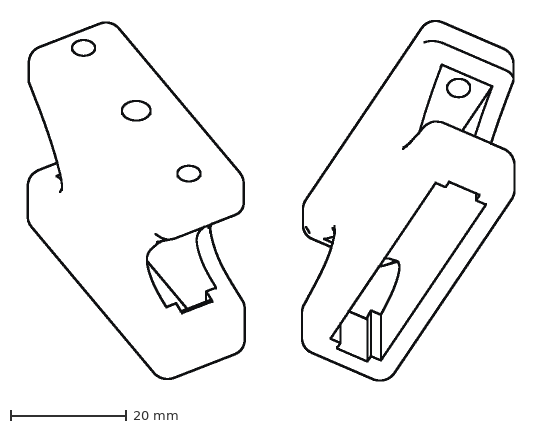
import cadquery as cq

width = 49.0
depth = 18.0
height = 42.0
half_width = width / 2

head_half_width = 24.15
head_bottom = 33.95
foot_shoulder = 11.7
recess_points = [
    (20.35, 12.95),
    (16.85, 14.05),
    (14.8, 15.15),
    (12.5, 18.75),
    (14.15, 23.05),
    (18.65, 28.7),
    (head_half_width, head_bottom),
]

edge_radius = 2.95
base_radius = 2.1

window_width = 9.95
window_bottom = 13.7
window_top = 31.5
cavity_half_length = 20.6
post_length = 1.3
ledge_half_length = 21.4
ledge_height = 12.25
post_width = 1.95

center_hole_diameter = 5.0
side_hole_diameter = 4.0
side_hole_offset = 18.45


def make_profile():
    """Symmetric hourglass outline, extruded through the depth."""
    left_recess = [(-x, z) for x, z in reversed(recess_points)]
    return (
        cq.Workplane("XZ", origin=(0, depth / 2, 0))
        .moveTo(-half_width, 0)
        .lineTo(half_width, 0)
        .lineTo(half_width, foot_shoulder)
        .spline(recess_points, includeCurrent=True)
        .lineTo(head_half_width, height)
        .lineTo(-head_half_width, height)
        .lineTo(-head_half_width, head_bottom)
        .spline(left_recess[1:] + [(-half_width, foot_shoulder)], includeCurrent=True)
        .close()
        .extrude(depth)
    )


def round_body(body):
    """Round all outer edges; the two edges under the head stay sharp."""
    head_underside = cq.selectors.BoxSelector(
        (-width, -0.5, head_bottom - 0.5), (width, 0.5, head_bottom + 0.5)
    )
    base = cq.selectors.BoxSelector((-width, -depth, -0.5), (width, depth, 0.5))
    body = body.edges(cq.selectors.SubtractSelector(
        cq.selectors.InverseSelector(base), head_underside)).fillet(edge_radius)
    return body.faces("<Z").edges().fillet(base_radius)


def make_cavity():
    """Tall cavity, open below and into both recesses, with a ledge at each end and
    a post in each lower corner."""
    cavity = cq.Workplane("XY").box(
        2 * cavity_half_length, window_width, window_top, centered=(True, True, False)
    )
    posts = (
        cq.Workplane("XY")
        .rect(2 * cavity_half_length - post_length, window_width - post_width, forConstruction=True)
        .vertices()
        .rect(post_length, post_width)
        .extrude(window_bottom)
    )
    gap_width = window_width - 2 * post_width
    ledge = cq.Workplane("XY", origin=(0, 0, ledge_height)).box(
        2 * ledge_half_length, gap_width, window_bottom - ledge_height, centered=(True, True, False)
    )
    window = cq.Workplane("XY", origin=(0, 0, window_bottom)).box(
        width, window_width, window_top - window_bottom, centered=(True, True, False)
    )
    return cavity.cut(posts).union(ledge).union(window)


def make_holes():
    """Vertical holes along the centre line, running through the full height."""
    center = cq.Workplane("XY").circle(center_hole_diameter / 2).extrude(height)
    sides = (
        cq.Workplane("XY")
        .pushPoints([(-side_hole_offset, 0), (side_hole_offset, 0)])
        .circle(side_hole_diameter / 2)
        .extrude(height)
    )
    return center.union(sides)


result = round_body(make_profile()).cut(make_cavity()).cut(make_holes())